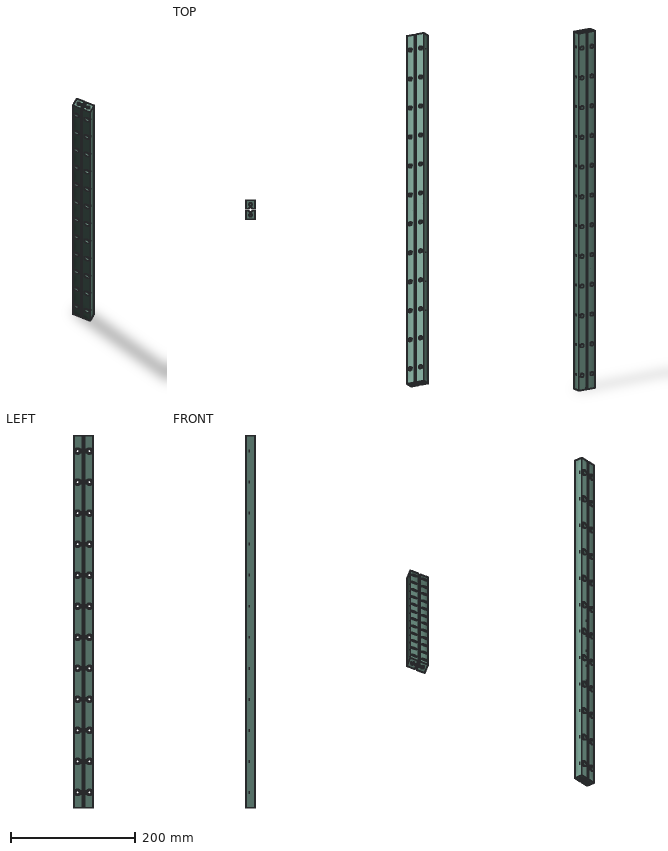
import cadquery as cq

import math

length = 600.0
pair_width = 31.0
thickness = 15.0

rail_gap = 3.0
groove_mouth = 6.0
relief_width = 2.0
relief_depth = 1.0
corner_chamfer = 0.2

hole_count = 12
bore_diameter = 6.0
counterbore_diameter = 9.5
counterbore_depth = 5.5
counterbore_wall = 1.3

end_hole_spacing = 17.5
end_hole_diameter = 5.0
end_hole_depth = 9.0
drill_point_angle = 120.0

hole_pitch = length / hole_count
inner_y = rail_gap / 2
outer_y = pair_width / 2
mounting_hole_y = outer_y - counterbore_wall - counterbore_diameter / 2
relief_mouth_y = inner_y + (groove_mouth - relief_width) / 2
relief_floor_y = relief_mouth_y + relief_depth


def rail_blank():
    """Bar of the +Y rail with its raceway facing -Y and its four long corners broken."""
    half_outline = [
        (thickness / 2, outer_y),
        (thickness / 2, inner_y),
        (groove_mouth / 2, inner_y),
        (relief_width / 2, relief_mouth_y),
        (relief_width / 2, relief_floor_y),
    ]
    mirrored_half = [(-x, y) for x, y in reversed(half_outline)]
    bar = cq.Workplane("XY").polyline(half_outline + mirrored_half).close().extrude(length)
    return bar.edges("|Z and (<X or >X)").chamfer(corner_chamfer)


def mounting_holes():
    """Through bores with counterbores that open on the -X face."""
    centres = [(mounting_hole_y, (i + 0.5) * hole_pitch) for i in range(hole_count)]
    face = cq.Workplane("YZ", origin=(-thickness / 2, 0, 0)).pushPoints(centres)
    bores = face.circle(bore_diameter / 2).extrude(thickness)
    counterbores = face.circle(counterbore_diameter / 2).extrude(counterbore_depth)
    return bores.union(counterbores)


def end_holes():
    """Blind hole with a conical drill point in the bottom end, and its mirror image in the top end."""
    radius = end_hole_diameter / 2
    point_length = radius / math.tan(math.radians(drill_point_angle / 2))
    bottom_hole = (
        cq.Workplane("XZ", origin=(0, end_hole_spacing / 2, 0))
        .polyline([(0, 0), (radius, 0), (radius, end_hole_depth), (0, end_hole_depth + point_length)])
        .close()
        .revolve(360, (0, 0), (0, 1))
    )
    top_hole = bottom_hole.mirror("XY").translate((0, 0, length))
    return bottom_hole.union(top_hole)


def make_rail():
    """Finished rail on the +Y side of the gap."""
    return rail_blank().cut(mounting_holes()).cut(end_holes())


rail = make_rail()
opposite_rail = rail.mirror("XZ")

result = cq.Compound.makeCompound([rail.val(), opposite_rail.val()])